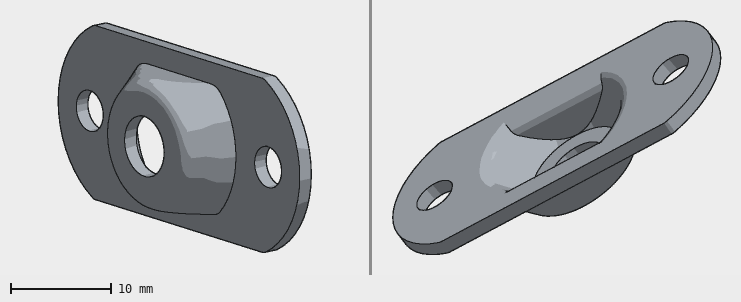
import cadquery as cq
import math

length = 37.93
height = 18.0
thickness = 1.5
end_radius = 10.0
corner_radius = 1.0

side_hole_diameter = 4.2
side_hole_spacing = 28.0
center_hole_diameter = 6.2

total_depth = 6.0
boss_base_radius = 8.95
boss_flat_height = 13.5
boss_fillet = 1.5
flat_fillet = 1.45
wall = thickness
cavity_rim_fillet = 1.5
cone_angle = math.radians(33)
boss_depth = total_depth - thickness


def make_plate():
    """Rectangle with arc ends and softened corners."""
    end_center = length / 2 - end_radius
    plate = cq.Workplane("XZ").rect(2 * end_center, height).extrude(thickness)
    for side in (-1, 1):
        end = cq.Workplane("XZ").center(side * end_center, 0).circle(end_radius).extrude(thickness)
        plate = plate.union(end)
    band = cq.Workplane("XZ").rect(length, height).extrude(thickness)
    return plate.intersect(band).clean().edges("|Y").fillet(corner_radius)


def make_boss():
    """Solid boss standing on the front face of the plate."""
    tip_radius = boss_base_radius - boss_depth * math.tan(cone_angle)
    cone = (
        cq.Workplane("XY")
        .polyline([(0, 0), (boss_base_radius, 0), (tip_radius, -boss_depth), (0, -boss_depth)])
        .close()
        .revolve(360, (0, 0, 0), (0, 1, 0))
    )
    slab = cq.Workplane("XZ").rect(2 * boss_base_radius, boss_flat_height).extrude(boss_depth)
    boss = cone.intersect(slab)

    boss = boss.faces("<Z or >Z").edges("%HYPERBOLA or %BSPLINE").fillet(flat_fillet)
    boss = boss.faces("<Y").edges().fillet(boss_fillet)
    return boss.translate((0, -thickness, 0))


def flared_profile(plane, half_width, wall_angle, depth):
    """Half section of a pocket along -Y whose mouth at Y = 0 is rounded outwards.

    The wall leans inwards by wall_angle; half_width is where it would meet Y = 0 unrounded.
    """
    half_turn = (math.pi / 2 - wall_angle) / 2
    tangent_length = cavity_rim_fillet * math.tan(half_turn)
    mouth = half_width + tangent_length
    arc_middle = (
        mouth - cavity_rim_fillet * math.sin(half_turn),
        -cavity_rim_fillet * (1 - math.cos(half_turn)),
    )
    arc_end = (
        half_width - tangent_length * math.sin(wall_angle),
        -tangent_length * math.cos(wall_angle),
    )
    return (
        cq.Workplane(plane)
        .moveTo(0, 0)
        .lineTo(mouth, 0)
        .threePointArc(arc_middle, arc_end)
        .lineTo(half_width - depth * math.tan(wall_angle), -depth)
        .lineTo(0, -depth)
        .close()
    )


def make_cavity():
    """Hollow with an even wall behind the cone, flats and tip, and a rounded rim at the back."""
    depth = total_depth - wall
    outer_radius_at_back = boss_base_radius + thickness * math.tan(cone_angle)
    radius_at_back = outer_radius_at_back - wall / math.cos(cone_angle)
    cone = flared_profile("XY", radius_at_back, cone_angle, depth).revolve(360, (0, 0, 0), (0, 1, 0))

    side_plane = cq.Plane(origin=(0, 0, 0), xDir=(0, 0, 1), normal=(-1, 0, 0))
    half_flat_height = boss_flat_height / 2 - wall
    upper_slab = flared_profile(side_plane, half_flat_height, 0, depth).extrude(length / 2, both=True)
    slab = upper_slab.union(upper_slab.mirror("XY"))
    return cone.intersect(slab)


center_hole = cq.Workplane("XZ").circle(center_hole_diameter / 2).extrude(total_depth)
side_holes = (
    cq.Workplane("XZ")
    .rarray(side_hole_spacing, 0.38, 2, 1)
    .circle(side_hole_diameter / 2)
    .extrude(thickness)
)

result = make_plate().union(make_boss()).cut(make_cavity()).cut(center_hole).cut(side_holes)